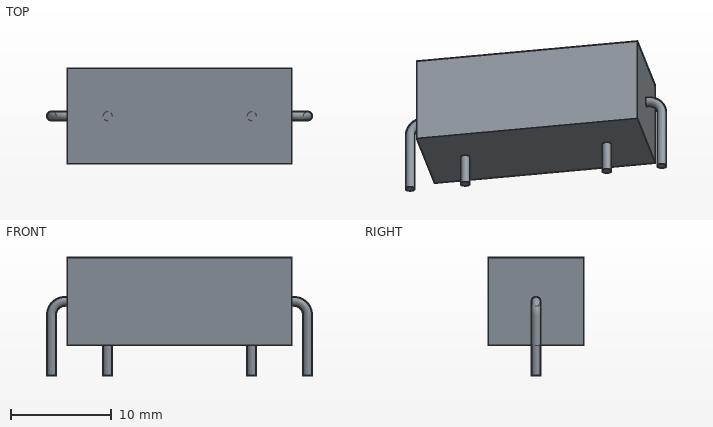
import cadquery as cq

body_length = 22.3
body_width = 9.5
body_height = 8.727
pin_diameter = 0.91
pin_drop = 3.0
outer_pin_pitch = 25.4
inner_pin_pitch = 14.29
bend_radius = 1.37
root_depth = 1.0

pin_radius = pin_diameter / 2
lead_x = outer_pin_pitch / 2
lead_exit_z = body_height / 2
bend_start_x = lead_x - bend_radius
bend_end_z = lead_exit_z - bend_radius
root_x = body_length / 2 - root_depth


def make_body():
    """Rectangular block standing on the XY plane."""
    return cq.Workplane("XY").box(
        body_length, body_width, body_height, centered=(True, True, False)
    )


def make_straight_pin(x):
    """Vertical round pin rooted in the underside of the body."""
    return (
        cq.Workplane("XY", origin=(x, 0, -pin_drop))
        .circle(pin_radius)
        .extrude(pin_drop + root_depth)
    )


def make_bent_lead():
    """Round lead leaving the +X end face and turning down."""
    stub = (
        cq.Workplane("YZ", origin=(root_x, 0, lead_exit_z))
        .circle(pin_radius)
        .extrude(bend_start_x - root_x)
    )
    bend = (
        cq.Workplane("XY", origin=(lead_x, 0, bend_end_z))
        .circle(pin_radius)
        .revolve(90, (-bend_radius, 0, 0), (-bend_radius, -1, 0))
    )
    leg = (
        cq.Workplane("XY", origin=(lead_x, 0, -pin_drop))
        .circle(pin_radius)
        .extrude(bend_end_z + pin_drop)
    )
    return stub.union(bend).union(leg)


result = make_body()
for side in (-1, 1):
    result = result.union(make_straight_pin(side * inner_pin_pitch / 2))

lead = make_bent_lead()
result = result.union(lead).union(lead.mirror("YZ"))